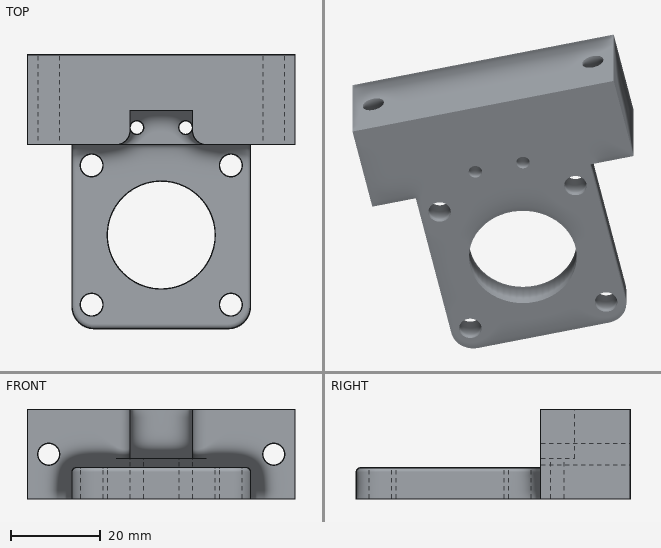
import cadquery as cq

block_width = 59.6
block_size = 20.0
wall_hole_diameter = 4.8
wall_hole_spacing = 50.1

overall_depth = 61.0
plate_length = overall_depth - block_size
plate_width = 39.8
plate_thickness = 7.0
plate_corner_radius = 5.0
plate_edge_radius = 1.0

bore_diameter = 24.0
bore_offset = 20.1
plate_hole_diameter = 5.0
plate_hole_spacing = 31.0

pocket_width = 13.95
pocket_depth = 7.6
pocket_floor_height = 9.0
pocket_mouth_radius = 3.0
floor_hole_diameter = 3.0
floor_hole_spacing = 10.85
floor_hole_offset = 3.8


def make_block():
    block = cq.Workplane("XY").box(block_width, block_size, block_size, centered=(True, False, False))
    wall_holes = (
        cq.Workplane("XZ")
        .pushPoints([(side * wall_hole_spacing / 2, block_size / 2) for side in (-1, 1)])
        .circle(wall_hole_diameter / 2)
        .extrude(-block_size)
    )
    return block.cut(wall_holes)


def make_plate():
    plate = (
        cq.Workplane("XY")
        .box(plate_width, plate_length, plate_thickness, centered=(True, False, False))
        .translate((0, -plate_length, 0))
        .edges("|Z and <Y")
        .fillet(plate_corner_radius)
    )
    plate = plate.faces(">Z").edges("not >Y").fillet(plate_edge_radius)
    bolt_holes = (
        cq.Workplane("XY")
        .center(0, -bore_offset)
        .rect(plate_hole_spacing, plate_hole_spacing, forConstruction=True)
        .vertices()
        .circle(plate_hole_diameter / 2)
        .extrude(plate_thickness)
    )
    bore = cq.Workplane("XY").center(0, -bore_offset).circle(bore_diameter / 2).extrude(plate_thickness)
    return plate.cut(bolt_holes).cut(bore)


def make_pocket():
    """Pocket volume whose side walls flare outward in arcs at the mouth."""
    half_width = pocket_width / 2
    mouth_half_width = half_width + pocket_mouth_radius
    return (
        cq.Workplane("XY", origin=(0, 0, pocket_floor_height))
        .moveTo(-mouth_half_width, 0)
        .radiusArc((-half_width, pocket_mouth_radius), -pocket_mouth_radius)
        .lineTo(-half_width, pocket_depth)
        .lineTo(half_width, pocket_depth)
        .lineTo(half_width, pocket_mouth_radius)
        .radiusArc((mouth_half_width, 0), -pocket_mouth_radius)
        .close()
        .extrude(block_size - pocket_floor_height)
    )


def make_floor_holes():
    return (
        cq.Workplane("XY")
        .pushPoints([(side * floor_hole_spacing / 2, floor_hole_offset) for side in (-1, 1)])
        .circle(floor_hole_diameter / 2)
        .extrude(pocket_floor_height)
    )


result = make_block().union(make_plate()).cut(make_pocket()).cut(make_floor_holes())